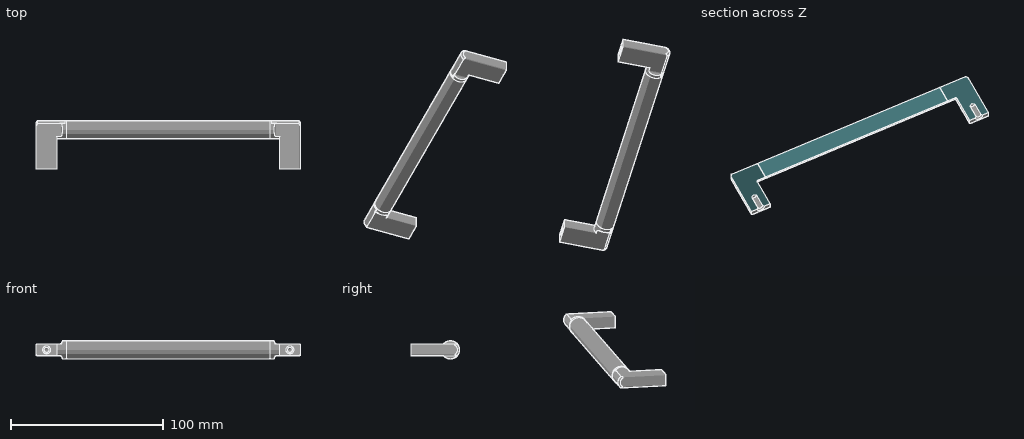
import cadquery as cq
import math

overall_length = 174.0
overall_depth = 32.0
bar_radius = 6.04
leg_width = 14.0
leg_thickness = 8.0
hole_spacing = 160.0

fitting_length = 20.0
back_length = 19.0
back_radius = 5.0
shoulder_foot_length = 16.7
shoulder_lean = 20.0
shoulder_fillet = 1.2
end_round = 1.0
back_chamfer_length = 1.0
back_chamfer_height = 1.4
inner_round = 0.5

groove_half_width = 0.5
groove_depth = 0.1

hole_radius = 1.65
countersink_radius = 2.6
hole_depth = 10.0
drill_point_angle = 118.0

axis_y = overall_depth - bar_radius
half_length = overall_length / 2
joint_x = half_length - fitting_length
leg_inner_x = half_length - leg_width
back_start_x = half_length - back_length
shoulder_foot_x = half_length - shoulder_foot_length
flat_z = leg_thickness / 2
back_edge_y = overall_depth - back_radius + math.sqrt(back_radius**2 - flat_z**2)
hole_x = hole_spacing / 2
countersink_depth = countersink_radius - hole_radius
drill_point_depth = hole_radius / math.tan(math.radians(drill_point_angle / 2))


def cylinder_along_x(start_x, length):
    """Round length of the grip on its axis, running toward +X."""
    return cq.Workplane("YZ", origin=(start_x, axis_y, 0)).circle(bar_radius).extrude(length)


def groove_half(body, faces):
    """Body with its half of the joint groove cut around the chosen round end faces."""
    return body.faces(faces).chamfer(groove_half_width, groove_depth)


def arched_plate(start_x):
    """Flat plate with an arched back, from the foot to the back and from start_x to the outer end."""
    return (
        cq.Workplane("YZ", origin=(start_x, 0, 0))
        .moveTo(0, -flat_z)
        .lineTo(back_edge_y, -flat_z)
        .threePointArc((overall_depth, 0), (back_edge_y, flat_z))
        .lineTo(0, flat_z)
        .close()
        .extrude(half_length - start_x)
    )


def leg():
    """Upright leg from the foot to the grip axis, rounded along its inner edges."""
    foot_to_axis = cq.Workplane("XY").box(
        half_length, axis_y, leg_thickness, centered=(False, False, True)
    )
    upright = arched_plate(leg_inner_x).intersect(foot_to_axis)
    return upright.edges("<X and |Y").fillet(inner_round)


def space_over_flat():
    """Space over the upper flat, ending inward at a leaning shoulder with a concave foot."""
    top_z = 2 * bar_radius
    lean_x = (top_z - flat_z) * math.tan(math.radians(shoulder_lean))
    return (
        cq.Workplane("XZ", origin=(0, overall_depth, 0))
        .moveTo(shoulder_foot_x, flat_z)
        .lineTo(half_length, flat_z)
        .lineTo(half_length, top_z)
        .lineTo(shoulder_foot_x - lean_x, top_z)
        .close()
        .extrude(overall_depth)
        .edges("|Y")
        .edges(cq.selectors.NearestToPointSelector((shoulder_foot_x, axis_y, flat_z)))
        .fillet(shoulder_fillet)
    )


def back_waste():
    """Material between the round neck and the lower arched back of the arm."""
    block = cq.Workplane("XY", origin=(back_start_x, axis_y, 0)).box(
        back_length, bar_radius, leg_thickness, centered=(False, False, True)
    )
    return block.cut(arched_plate(back_start_x))


def arm():
    """Round neck flattened above and below, with the arched back, running to the outer end."""
    space = space_over_flat()
    neck = groove_half(cylinder_along_x(joint_x, fitting_length), "<X")
    return neck.cut(space).cut(space.mirror("XY")).cut(back_waste())


def screw_hole():
    """Solid of one hole: countersunk mouth, straight bore and drill point, along +Y from the foot."""
    return (
        cq.Workplane("XY", origin=(hole_x, 0, 0))
        .moveTo(0, 0)
        .lineTo(countersink_radius, 0)
        .lineTo(hole_radius, countersink_depth)
        .lineTo(hole_radius, hole_depth)
        .lineTo(0, hole_depth + drill_point_depth)
        .close()
        .revolve(360, (0, 0, 0), (0, 1, 0))
    )


def right_fitting():
    """L-shaped end fitting at +X: leg and arm as one solid, softened around the outer end."""
    fitting = arm().union(leg())
    fitting = fitting.faces(">X").edges("%CIRCLE").chamfer(back_chamfer_length, back_chamfer_height)
    fitting = fitting.faces(">X").edges("|Y").fillet(end_round)
    return fitting.cut(screw_hole())


bar = groove_half(cylinder_along_x(-joint_x, 2 * joint_x), "<X or >X")
fitting_at_right = right_fitting()
fitting_at_left = fitting_at_right.mirror("YZ")

result = cq.Compound.makeCompound([bar.val(), fitting_at_right.val(), fitting_at_left.val()])